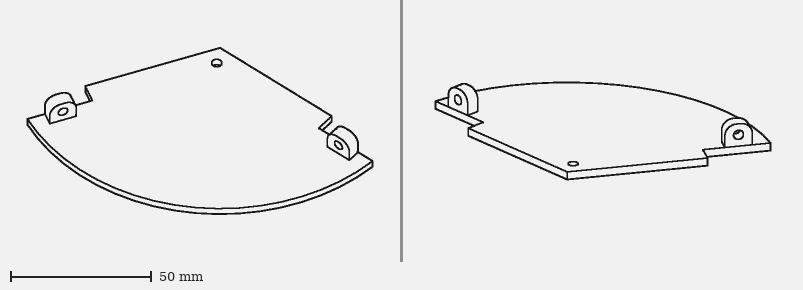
import cadquery as cq
import math

plate_thickness = 3.0
sector_radius = 76.3
side_angles = (-90, 30)
notch_start = 51.2
notch_depth = 7.3
hole_diameter = 3.5
pivot_distance = 7.3

lug_width = 10.0
lug_thickness = 5.0
lug_height = 8.7
lug_corner_radius = 4.2
lug_hole_height = 4.4
lug_distance = 64.2

bisector_angle = sum(side_angles) / 2


def polar(radius, angle):
    """Point at a radius and an angle in degrees from the apex."""
    return (radius * math.cos(math.radians(angle)), radius * math.sin(math.radians(angle)))


def side_point(side, along, inset):
    """Point on a side (0 or 1), set in from it towards the plate."""
    inward_turn = 90 if side == 0 else -90
    x_along, y_along = polar(along, side_angles[side])
    x_inset, y_inset = polar(inset, side_angles[side] + inward_turn)
    return (x_along + x_inset, y_along + y_inset)


def make_plate():
    """Sector with a notch in the outer part of each side and a pivot hole."""
    tip_distance = math.sqrt(sector_radius**2 - notch_depth**2)
    sector = (
        cq.Workplane("XY")
        .moveTo(0, 0)
        .lineTo(*side_point(0, notch_start, 0))
        .lineTo(*side_point(0, notch_start, notch_depth))
        .lineTo(*side_point(0, tip_distance, notch_depth))
        .threePointArc(polar(sector_radius, bisector_angle), side_point(1, tip_distance, notch_depth))
        .lineTo(*side_point(1, notch_start, notch_depth))
        .lineTo(*side_point(1, notch_start, 0))
        .close()
        .extrude(plate_thickness)
    )
    pivot_hole = (
        cq.Workplane("XY")
        .center(*polar(pivot_distance, bisector_angle))
        .circle(hole_diameter / 2)
        .extrude(plate_thickness)
    )
    return sector.cut(pivot_hole)


def make_lug(side):
    """Upright lug with rounded top corners and a cross hole."""
    block = (
        cq.Workplane("XY")
        .box(lug_width, lug_thickness, lug_height, centered=(True, True, False))
        .edges("|Y and >Z")
        .fillet(lug_corner_radius)
    )
    cross_hole = (
        cq.Workplane("XZ")
        .center(0, lug_hole_height)
        .circle(hole_diameter / 2)
        .extrude(lug_thickness, both=True)
    )
    x, y = side_point(side, lug_distance, notch_depth + lug_thickness / 2)
    return (
        block.cut(cross_hole)
        .rotate((0, 0, 0), (0, 0, 1), side_angles[side])
        .translate((x, y, plate_thickness))
    )


plate = make_plate()
lugs = [make_lug(side) for side in range(len(side_angles))]

result = cq.Compound.makeCompound([plate.val(), *[lug.val() for lug in lugs]])